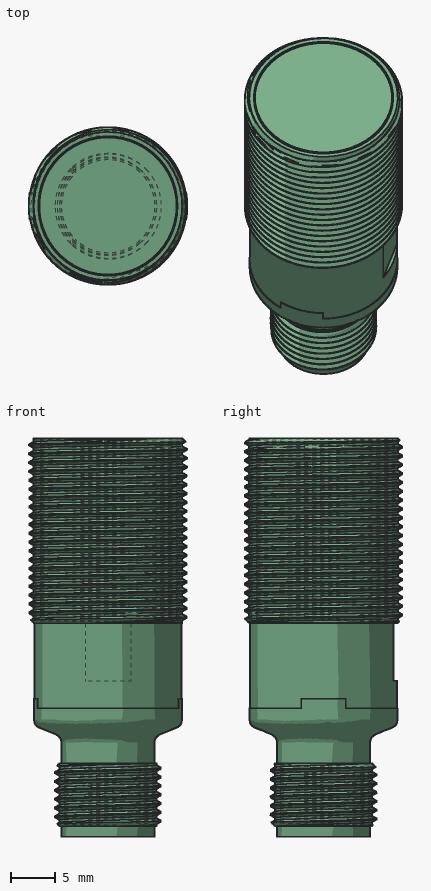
import cadquery as cq
import math

total_height = 45.1
body_thread_bottom = 24.17
tab_top = 15.6
sleeve_bottom = 14.55
collar_edge_z = 12.6
neck_shoulder_z = 11.3
neck_thread_top = 8.35
neck_thread_bottom = 1.17

body_diameter = 18.0
body_radius = 8.4
sleeve_radius = 8.35
neck_radius = 5.28
body_thread_radius = 8.95
pad_radius = body_diameter / 2
neck_thread_radius = 6.0
shoulder_blend = 1.0

turns_per_diameter = 18
thread_pitch = 2 * pad_radius / turns_per_diameter
thread_depth = 0.5
groove_overshoot = 0.1
flank_angle = math.radians(30)
crest_flat = thread_pitch / 8
body_crest_z = 43.85
neck_crest_z = 7.75
end_chamfer = 0.55
trim_clearance = 0.55

pad_width = 2.98
pad_height = 4.05

cap_radius = 7.75
cap_gap = 0.15
cap_gap_depth = 0.1

tab_width = 5.05

flat_y = 7.95
flat_bottom = 17.7


def cylinder(radius, bottom, top):
    return cq.Workplane("XY").workplane(offset=bottom).circle(radius).extrude(top - bottom)


def threaded_rod(blank_radius, crest_radius, crest_z, bottom, top):
    """Right-hand thread with chamfered ends, one crest crossing +X at crest_z."""
    root_radius = crest_radius - thread_depth
    mouth_radius = crest_radius + groove_overshoot
    crest_half_gap = (thread_pitch - crest_flat) / 2
    root_half = crest_half_gap - thread_depth * math.tan(flank_angle)
    mouth_half = crest_half_gap + groove_overshoot * math.tan(flank_angle)

    turns_below = math.ceil((crest_z - bottom) / thread_pitch) + 1
    start_z = crest_z - (turns_below + 0.5) * thread_pitch
    turns = math.ceil((top - start_z) / thread_pitch) + 1
    path = cq.Workplane(obj=cq.Wire.makeHelix(thread_pitch, turns * thread_pitch, root_radius))
    groove = (
        cq.Workplane("XZ")
        .moveTo(root_radius, -root_half)
        .lineTo(mouth_radius, -mouth_half)
        .lineTo(mouth_radius, mouth_half)
        .lineTo(root_radius, root_half)
        .close()
        .sweep(path, isFrenet=True)
        .translate((0, 0, start_z))
    )
    spare = 4 * thread_pitch
    rod = cylinder(blank_radius, bottom - spare, top + spare).cut(groove, clean=False)

    trim = (
        cylinder(crest_radius + trim_clearance, bottom, top)
        .faces("<Z or >Z")
        .chamfer(end_chamfer + trim_clearance)
    )
    return rod.intersect(trim, clean=False)


def sleeve_relief():
    """Thin layer turned off above the collar, leaving its tabs."""
    relief = cylinder(body_radius + trim_clearance, sleeve_bottom, body_thread_bottom).cut(
        cylinder(sleeve_radius, sleeve_bottom, body_thread_bottom)
    )
    tabs = (
        cq.Workplane("XY")
        .box(3 * body_radius, tab_width, tab_top - sleeve_bottom, centered=(True, True, False))
        .translate((0, 0, sleeve_bottom))
    )
    return relief.cut(tabs)


def label_flat():
    flat_height = body_thread_bottom - flat_bottom
    return (
        cq.Workplane("XY")
        .box(2 * body_radius, body_radius, flat_height, centered=(True, False, False))
        .translate((0, flat_y, flat_bottom))
    )


def plain_body():
    """Turned core: neck, sloping shoulder and collar."""
    core = (
        cq.Workplane("XZ")
        .moveTo(0, 0)
        .lineTo(neck_radius, 0)
        .lineTo(neck_radius, neck_shoulder_z)
        .lineTo(body_radius, collar_edge_z)
        .lineTo(body_radius, body_thread_bottom)
        .lineTo(0, body_thread_bottom)
        .close()
        .revolve(360, (0, 0, 0), (0, 1, 0))
    )
    bend_edges = [
        edge
        for edge in core.edges("%CIRCLE").vals()
        if neck_thread_top < edge.Center().z < sleeve_bottom
    ]
    core = core.newObject(bend_edges).fillet(shoulder_blend)
    return core.cut(sleeve_relief()).cut(label_flat())


def crest_relief():
    """Sleeve that takes the body crests down everywhere except on the two pads."""
    bottom = body_thread_bottom - trim_clearance
    top = total_height + trim_clearance
    pads = (
        cq.Workplane("XY")
        .box(4 * pad_radius, pad_width, top, centered=(True, True, False))
        .translate((0, 0, total_height - pad_height))
    )
    return (
        cylinder(pad_radius + trim_clearance, bottom, top)
        .cut(cylinder(body_thread_radius, bottom, top))
        .cut(pads)
    )


def cap_groove():
    floor_z = total_height - cap_gap_depth
    return cylinder(cap_radius + cap_gap, floor_z, total_height).cut(
        cylinder(cap_radius, floor_z, total_height)
    )


body_thread = (
    threaded_rod(pad_radius, body_thread_radius, body_crest_z, body_thread_bottom, total_height)
    .cut(crest_relief(), clean=False)
    .cut(cap_groove(), clean=False)
)
neck_thread = threaded_rod(
    neck_thread_radius, neck_thread_radius, neck_crest_z, neck_thread_bottom, neck_thread_top
)

result = body_thread.union(plain_body(), clean=False).union(neck_thread, clean=False)